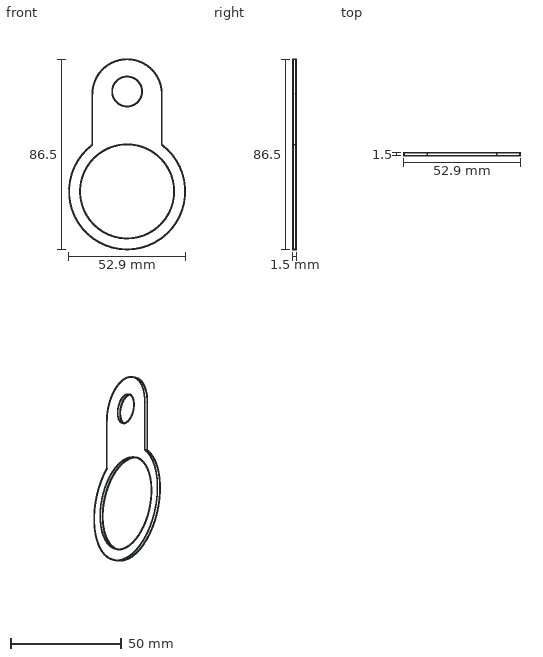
import cadquery as cq

thickness = 1.5
total_height = 86.5
ring_outer_diameter = 52.9
ring_bore_diameter = 42.7
tab_width = 31.7
eye_diameter = 13.5
eye_height = 71.8

ring_center_height = ring_outer_diameter / 2
tab_radius = tab_width / 2
tab_arc_height = total_height - tab_radius


def plate_disc(diameter, height):
    """Disc of plate thickness, centred on X = 0 at the given height."""
    return (
        cq.Workplane("XZ")
        .center(0, height)
        .circle(diameter / 2)
        .extrude(thickness / 2, both=True)
    )


def tab():
    """Round-topped tab that starts at the ring centre."""
    return (
        cq.Workplane("XZ")
        .moveTo(-tab_radius, ring_center_height)
        .lineTo(-tab_radius, tab_arc_height)
        .threePointArc((0, total_height), (tab_radius, tab_arc_height))
        .lineTo(tab_radius, ring_center_height)
        .close()
        .extrude(thickness / 2, both=True)
    )


ring_blank = plate_disc(ring_outer_diameter, ring_center_height)
ring_bore = plate_disc(ring_bore_diameter, ring_center_height)
eye = plate_disc(eye_diameter, eye_height)

result = ring_blank.union(tab()).cut(ring_bore).cut(eye)